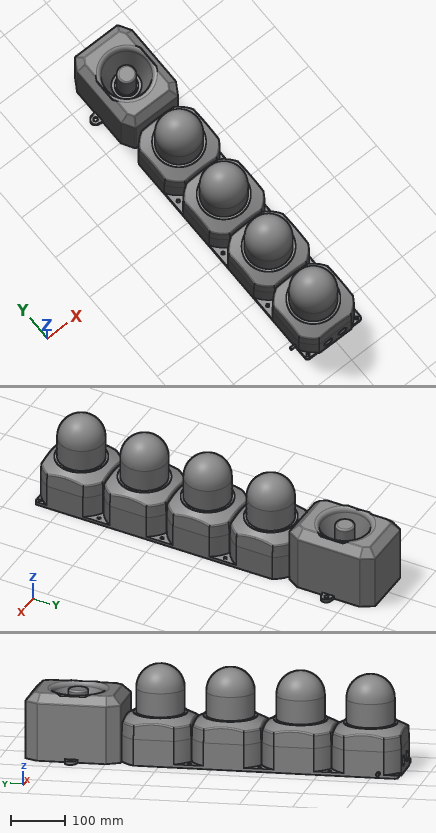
import cadquery as cq
import math

total_length = 705.5
beacon_count = 4
beacon_pitch = 132.0
unit_width = 130.5
joint_gap = beacon_pitch - unit_width
overlap = 7.0
row_start = -total_length / 2
row_end = row_start + beacon_count * beacon_pitch - joint_gap
plate_thickness = 6.0

base_height = 51.0
corner_radius = 75.5
lid_draft = 3.0
roof_edge_z = 76.0
roof_top_z = 89.5
roof_top_radius = 50.0
roof_edge_fillet = 3.5
roof_step = 1.05
dome_radius = 45.0
dome_top_z = 180.0
dome_center_z = dome_top_z - dome_radius

plate_start = row_start + 2.0
plate_corner_radius = 5.5
plate_hole_radius = 3.2
joint_hole_x = 55.0
end_hole_x = 58.0
end_hole_y = row_start + 9.0

entry_radius = 10.0
entry_depth = 10.0
entry_x = 17.0
entry_z = 23.0
pin_radius = 3.0
pin_tip_x = -76.0
pin_y = row_start + 37.5
pin_z = 9.0

siren_length = total_length / 2 - row_end
siren_y = row_end + siren_length / 2
siren_corner = (15.0, 25.0)
siren_shoulder_z = 110.0
siren_top_z = 126.0
siren_top_width = 96.5
siren_top_length = 148.0
siren_top_cut_x = 7.0
siren_top_corner = (siren_top_cut_x, siren_top_cut_x * siren_corner[1] / siren_corner[0])
siren_edge_fillet = 3.0

horn_rim_radius = 57.0
horn_rim_width = 104.5
flare_radius = 56.5
mouth_radius = 47.0
throat_radius = 28.0
throat_z = 63.5
ring_radius = 22.0
ring_floor_z = 60.0
hub_radius = 18.0
hub_top_z = 125.0
hub_fillet = 3.5

lug_hole_x = 73.5
lug_hole_radius = 4.0
lug_tip_x = 83.6
lug_end_radius = lug_tip_x - lug_hole_x
lug_root_half_width = 12.35


def beacon(center_y):
    """Square base with round corners, drafted lid with a conical roof, and a dome."""
    base = cq.Workplane("XY").rect(unit_width, unit_width).extrude(base_height)
    base = base.intersect(cq.Workplane("XY").circle(corner_radius).extrude(base_height))

    lid_height = roof_top_z - base_height
    edge_radius = corner_radius - (roof_edge_z - base_height) * math.tan(math.radians(lid_draft))
    lid = (
        cq.Workplane("XY").workplane(offset=base_height)
        .rect(unit_width, unit_width)
        .extrude(lid_height, taper=lid_draft)
    )
    lid_envelope = (
        cq.Workplane("XZ")
        .moveTo(0, base_height)
        .lineTo(corner_radius, base_height)
        .lineTo(edge_radius, roof_edge_z)
        .lineTo(roof_top_radius, roof_top_z - roof_step)
        .lineTo(roof_top_radius, roof_top_z)
        .lineTo(0, roof_top_z)
        .close()
        .revolve(360, (0, 0), (0, 1))
    )
    lid = lid.intersect(lid_envelope)
    roof_edges = cq.selectors.BoxSelector(
        (-unit_width, -unit_width, roof_edge_z - roof_edge_fillet),
        (unit_width, unit_width, roof_top_z - roof_edge_fillet),
    )
    lid = lid.edges(roof_edges).fillet(roof_edge_fillet)

    lens = (
        cq.Workplane("XZ")
        .moveTo(0, base_height)
        .lineTo(dome_radius, base_height)
        .lineTo(dome_radius, dome_center_z)
        .radiusArc((0, dome_top_z), -dome_radius)
        .close()
        .revolve(360, (0, 0), (0, 1))
    )
    return base.union(lid).union(lens).translate((0, center_y, 0))


def mounting_plate():
    """Strip from the free end of the row to the middle of the beacon next to the siren."""
    plate_end = row_end - unit_width / 2
    return (
        cq.Workplane("XY")
        .rect(unit_width, plate_end - plate_start)
        .extrude(plate_thickness)
        .translate((0, (plate_start + plate_end) / 2, 0))
        .edges("|Z and <Y").fillet(plate_corner_radius)
    )


def plate_holes():
    """Screw holes at every joint between beacons and at the free end of the plate."""
    points = [(side * end_hole_x, end_hole_y) for side in (-1, 1)]
    for joint in range(1, beacon_count):
        joint_y = row_start + joint * beacon_pitch - joint_gap / 2
        points += [(side * joint_hole_x, joint_y) for side in (-1, 1)]
    return cq.Workplane("XY").pushPoints(points).circle(plate_hole_radius).extrude(plate_thickness)


def cut_corner_outline(width, length, corner):
    """Corner points of a rectangle with its four corners cut off."""
    x, y = width / 2, length / 2
    cut_x, cut_y = corner
    return [
        (x, y - cut_y), (x - cut_x, y), (cut_x - x, y), (-x, y - cut_y),
        (-x, cut_y - y), (cut_x - x, -y), (x - cut_x, -y), (x, cut_y - y),
    ]


def siren_body():
    """Eight-sided housing with a bevelled top."""
    outline = cut_corner_outline(unit_width, siren_length, siren_corner)
    top_outline = cut_corner_outline(siren_top_width, siren_top_length, siren_top_corner)
    housing = cq.Workplane("XY").polyline(outline).close().extrude(siren_shoulder_z)
    bevel = (
        cq.Workplane("XY").workplane(offset=siren_shoulder_z)
        .polyline(outline).close()
        .workplane(offset=siren_top_z - siren_shoulder_z)
        .polyline(top_outline).close()
        .loft(ruled=True, combine=True)
    )
    body = housing.union(bevel)
    return body.edges("not <Z").fillet(siren_edge_fillet)


def horn_rim():
    """Round rim with two flat sides that stand just proud of the side bevels."""
    rim = cq.Workplane("XY").circle(horn_rim_radius).extrude(siren_top_z)
    flats = cq.Workplane("XY").rect(horn_rim_width, 2 * horn_rim_radius).extrude(siren_top_z)
    return rim.intersect(flats)


def horn_recess():
    """Flared mouth narrowing to a throat with a shallow ring at the foot of the hub."""
    flare_size = flare_radius - mouth_radius
    recess = (
        cq.Workplane("XZ")
        .moveTo(0, siren_top_z)
        .lineTo(flare_radius, siren_top_z)
        .radiusArc((mouth_radius, siren_top_z - flare_size), -flare_size)
        .lineTo(throat_radius, throat_z)
        .lineTo(ring_radius, throat_z)
        .lineTo(ring_radius, ring_floor_z)
        .lineTo(0, ring_floor_z)
        .close()
        .revolve(360, (0, 0), (0, 1))
    )
    hub = (
        cq.Workplane("XY").workplane(offset=ring_floor_z)
        .circle(hub_radius)
        .extrude(hub_top_z - ring_floor_z)
        .faces(">Z").edges().fillet(hub_fillet)
    )
    return recess.cut(hub)


def siren_lug(side):
    """Rounded ear with a screw hole; side is -1 or 1."""
    root_x = unit_width / 2 - overlap
    ear = (
        cq.Workplane("XY")
        .moveTo(root_x, -lug_root_half_width)
        .lineTo(unit_width / 2, -lug_root_half_width)
        .lineTo(lug_hole_x, -lug_end_radius)
        .threePointArc((lug_tip_x, 0), (lug_hole_x, lug_end_radius))
        .lineTo(unit_width / 2, lug_root_half_width)
        .lineTo(root_x, lug_root_half_width)
        .close()
        .extrude(plate_thickness)
    )
    hole = cq.Workplane("XY").center(lug_hole_x, 0).circle(lug_hole_radius).extrude(plate_thickness)
    ear = ear.cut(hole)
    return ear if side > 0 else ear.mirror("YZ")


def siren():
    """Housing with its horn and both lugs."""
    body = siren_body().union(horn_rim()).cut(horn_recess())
    for side in (-1, 1):
        body = body.union(siren_lug(side))
    return body.translate((0, siren_y, 0))


def cable_entry(x):
    """Conical recess in the end face of the row."""
    cone = cq.Solid.makeCone(
        entry_radius, 0, entry_depth, cq.Vector(x, row_start, entry_z), cq.Vector(0, 1, 0)
    )
    return cq.Workplane(cone)


def side_pin():
    """Small round pin low on the -X wall of the end beacon."""
    return (
        cq.Workplane("YZ").workplane(offset=pin_tip_x)
        .center(pin_y, pin_z)
        .circle(pin_radius)
        .extrude(overlap - unit_width / 2 - pin_tip_x)
    )


result = mounting_plate().union(siren())
for index in range(beacon_count):
    result = result.union(beacon(row_start + unit_width / 2 + index * beacon_pitch))
result = result.union(side_pin()).cut(plate_holes())
for entry_side in (-1, 1):
    result = result.cut(cable_entry(entry_side * entry_x))